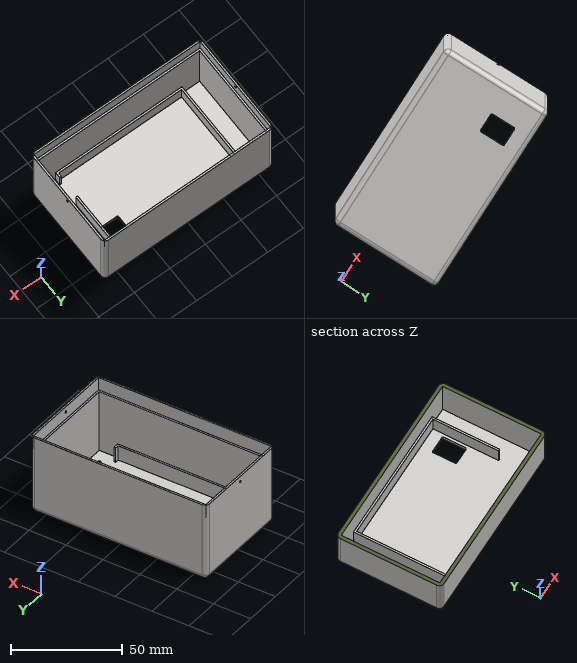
import cadquery as cq

LENGTH = 95.5
WIDTH = 55.0
HEIGHT = 41.8
EDGE_RADIUS = 2.5

WALL = 2.0
FLOOR = 2.0
LIP_WALL = WALL / 2
LEDGE_DEPTH = 7.0

PIN_DIAMETER = 1.0
PIN_DEPTH_BELOW_RIM = 3.0

FRAME_LENGTH = 71.05
FRAME_WIDTH = 50.2
FRAME_WALL = WALL / 2
FRAME_HEIGHT = 8.0

GAP_WIDTH = 12.1
GAP_CENTRE_Y = -16.0

WINDOW_LENGTH = 9.5
WINDOW_WIDTH = 12.5
WINDOW_CENTRE_X = 28.4
WINDOW_CENTRE_Y = 12.0
WINDOW_RADIUS = 0.6


def block(length, width, bottom, top):
    """Centred rectangular block between two heights."""
    return cq.Workplane("XY").workplane(offset=bottom).rect(length, width).extrude(top - bottom)


def make_shell():
    """Rounded box, hollowed from above, with a ledge for the lid."""
    box = block(LENGTH, WIDTH, 0, HEIGHT)
    box = box.edges("|Z or <Z").fillet(EDGE_RADIUS)
    cavity = block(LENGTH - 2 * WALL, WIDTH - 2 * WALL, FLOOR, HEIGHT)
    lid_recess = block(LENGTH - 2 * LIP_WALL, WIDTH - 2 * LIP_WALL, HEIGHT - LEDGE_DEPTH, HEIGHT)
    return box.cut(cavity).cut(lid_recess)


def make_frame():
    """Rectangular frame rooted in the floor, open at the gap on its +X side."""
    top = FLOOR + FRAME_HEIGHT
    root = FLOOR / 2
    frame = block(FRAME_LENGTH, FRAME_WIDTH, root, top)
    frame = frame.cut(block(FRAME_LENGTH - 2 * FRAME_WALL, FRAME_WIDTH - 2 * FRAME_WALL, root, top))
    gap_x = (FRAME_LENGTH - FRAME_WALL) / 2
    gap = block(2 * FRAME_WALL, GAP_WIDTH, root, top).translate((gap_x, GAP_CENTRE_Y, 0))
    return frame.cut(gap)


def make_window():
    """Cutter for the floor window, rounded at its corners."""
    window = block(WINDOW_LENGTH, WINDOW_WIDTH, 0, FLOOR).edges("|Z").fillet(WINDOW_RADIUS)
    return window.translate((WINDOW_CENTRE_X, WINDOW_CENTRE_Y, 0))


def make_pin_holes():
    """Cutter for the pin holes, passing through both end walls."""
    pin_height = HEIGHT - PIN_DEPTH_BELOW_RIM
    axis = cq.Workplane("YZ").center(0, pin_height)
    return axis.circle(PIN_DIAMETER / 2).extrude(LENGTH / 2, both=True)


result = make_shell().union(make_frame()).cut(make_window()).cut(make_pin_holes())